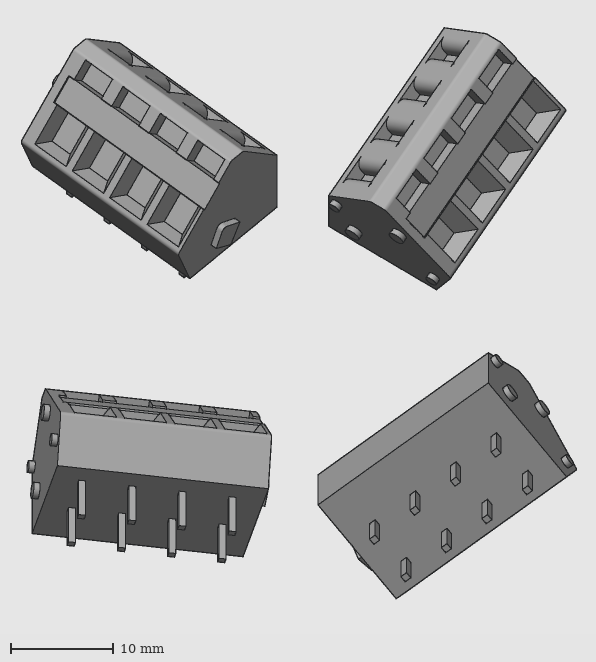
import cadquery as cq
import math


TERMINAL_COUNT = 4
PITCH = 5.0
FIRST_PIN_X = 2.9

LENGTH = 21.0
HEIGHT = 12.7
BASE_DEPTH = 12.49
NOSE_DEPTH = 14.15
NOSE_HEIGHT = 5.13
BACK_RIDGE_DEPTH = 4.86
FRONT_RIDGE_DEPTH = NOSE_DEPTH - (HEIGHT - NOSE_HEIGHT)
BACK_WALL_HEIGHT = HEIGHT - BACK_RIDGE_DEPTH
EDGE_RADIUS = 0.5

RECESS_START_X = 0.98
RECESS_TOP = 2.55
RECESS_WIDTH = 3.03
RECESS_DEPTH = 0.2
RECESS_BOTTOM = RECESS_TOP + RECESS_WIDTH

WINDOW_START_X = 1.72
WINDOW_WIDTH = 3.61
WINDOW_TOP = 0.25
WINDOW_DEPTH = 1.54

FUNNEL_START_X = 1.45
FUNNEL_WIDTH = 4.2
FUNNEL_LENGTH = 4.5
FUNNEL_DEPTH = 2.0
FUNNEL_FLOOR_WIDTH = 2.43
FUNNEL_FLOOR_LENGTH = 3.41
FUNNEL_LEFT_INSET = 0.47
FUNNEL_TOP_INSET = 0.33

SLOT_CENTER_X = 3.35
SLOT_WIDTH = 1.25
SLOT_MOUTH_RADIUS = 1.0
SLOT_TOP = 1.87
SLOT_LENGTH = 4.17
SLOT_DEPTH = 1.55

STUD_LENGTH = 0.6
SMALL_STUD_RADIUS = 0.6
LARGE_STUD_RADIUS = 0.8
STUDS = [
    (0.98, 7.11, SMALL_STUD_RADIUS),
    (12.25, 3.1, SMALL_STUD_RADIUS),
    (8.2, 8.83, LARGE_STUD_RADIUS),
    (3.1, 3.0, LARGE_STUD_RADIUS),
]

KEY_LENGTH = 0.7
KEY_TOP_RADIUS = 0.54
KEY_CORNERS = [
    (6.07, 3.6),
    (8.4, 4.77),
    (9.45, 2.5),
    (7.35, 1.3),
]

PIN_SIDE = 0.7
PIN_LENGTH = 4.0
PIN_ROW_DEPTHS = (PITCH, 2 * PITCH)

TERMINAL_SHIFTS = [index * PITCH for index in range(TERMINAL_COUNT)]

FRONT_SLOPE = cq.Plane(origin=(0, -FRONT_RIDGE_DEPTH, HEIGHT), xDir=(1, 0, 0), normal=(0, -1, 1))


def end_plane(x):
    """Plane square to X whose local X points to +Y and local Y to +Z."""
    return cq.Workplane("YZ", origin=(x, 0, 0))


def make_block():
    outline = [
        (0, 0),
        (0, BACK_WALL_HEIGHT),
        (-BACK_RIDGE_DEPTH, HEIGHT),
        (-FRONT_RIDGE_DEPTH, HEIGHT),
        (-NOSE_DEPTH, NOSE_HEIGHT),
        (-BASE_DEPTH, 0),
    ]
    block = end_plane(0).polyline(outline).close().extrude(LENGTH)
    ridge_edges = block.faces(">Z").edges("|X")
    nose_edge = block.edges("<Y")
    return block.newObject(ridge_edges.vals() + nose_edge.vals()).fillet(EDGE_RADIUS)


def front_slope_box(start_x, top, width, length, depth):
    """Box sunk square into the front slope, starting `top` below the ridge."""
    return (
        cq.Workplane(FRONT_SLOPE)
        .center(start_x + width / 2, -top - length / 2)
        .rect(width, length)
        .extrude(-depth)
    )


def make_recess():
    return front_slope_box(RECESS_START_X, RECESS_TOP, LENGTH - RECESS_START_X, RECESS_WIDTH, RECESS_DEPTH)


def make_window(shift):
    return front_slope_box(
        WINDOW_START_X + shift, WINDOW_TOP, WINDOW_WIDTH, RECESS_TOP - WINDOW_TOP, WINDOW_DEPTH
    )


def make_funnel(shift):
    mouth_x = FUNNEL_START_X + FUNNEL_WIDTH / 2 + shift
    mouth_y = -RECESS_BOTTOM - FUNNEL_LENGTH / 2
    floor_x = FUNNEL_START_X + FUNNEL_LEFT_INSET + FUNNEL_FLOOR_WIDTH / 2 + shift
    floor_y = -RECESS_BOTTOM - FUNNEL_TOP_INSET - FUNNEL_FLOOR_LENGTH / 2
    return (
        cq.Workplane(FRONT_SLOPE)
        .center(mouth_x, mouth_y)
        .rect(FUNNEL_WIDTH, FUNNEL_LENGTH)
        .workplane(offset=-FUNNEL_DEPTH)
        .center(floor_x - mouth_x, floor_y - mouth_y)
        .rect(FUNNEL_FLOOR_WIDTH, FUNNEL_FLOOR_LENGTH)
        .loft(ruled=True)
    )


def make_slot(shift):
    drop = SLOT_TOP * math.sin(math.radians(45))
    start = (SLOT_CENTER_X + shift, -BACK_RIDGE_DEPTH + drop, HEIGHT - drop)
    section_plane = cq.Plane(origin=start, xDir=(1, 0, 0), normal=(0, 1, -1))
    wall_x = SLOT_WIDTH / 2
    mouth_x = wall_x + SLOT_MOUTH_RADIUS
    arc_mid = SLOT_MOUTH_RADIUS * math.sin(math.radians(45))
    arc_x = mouth_x - arc_mid
    arc_y = SLOT_MOUTH_RADIUS - arc_mid
    return (
        cq.Workplane(section_plane)
        .moveTo(-mouth_x, 0)
        .threePointArc((-arc_x, arc_y), (-wall_x, SLOT_MOUTH_RADIUS))
        .lineTo(-wall_x, SLOT_DEPTH)
        .lineTo(wall_x, SLOT_DEPTH)
        .lineTo(wall_x, SLOT_MOUTH_RADIUS)
        .threePointArc((arc_x, arc_y), (mouth_x, 0))
        .close()
        .extrude(SLOT_LENGTH)
    )


def make_stud(depth, height, radius):
    return end_plane(0).center(-depth, height).circle(radius).extrude(-STUD_LENGTH)


def make_key():
    outline = [(-depth, height) for depth, height in KEY_CORNERS]
    key = end_plane(LENGTH).polyline(outline).close().extrude(KEY_LENGTH)
    return key.edges("|X").edges(">Z").fillet(KEY_TOP_RADIUS)


def make_housing():
    body = make_block().cut(make_recess())
    for shift in TERMINAL_SHIFTS:
        body = body.cut(make_window(shift))
        body = body.cut(make_funnel(shift))
        body = body.cut(make_slot(shift))
    for depth, height, radius in STUDS:
        body = body.union(make_stud(depth, height, radius))
    return body.union(make_key())


def make_pin(x, depth):
    """Square pin hanging from the underside of the housing."""
    return cq.Workplane("XY", origin=(x, -depth, 0)).rect(PIN_SIDE, PIN_SIDE).extrude(-PIN_LENGTH)


housing = make_housing()
pins = [make_pin(FIRST_PIN_X + shift, depth) for depth in PIN_ROW_DEPTHS for shift in TERMINAL_SHIFTS]

result = cq.Compound.makeCompound([housing.val(), *[pin.val() for pin in pins]])